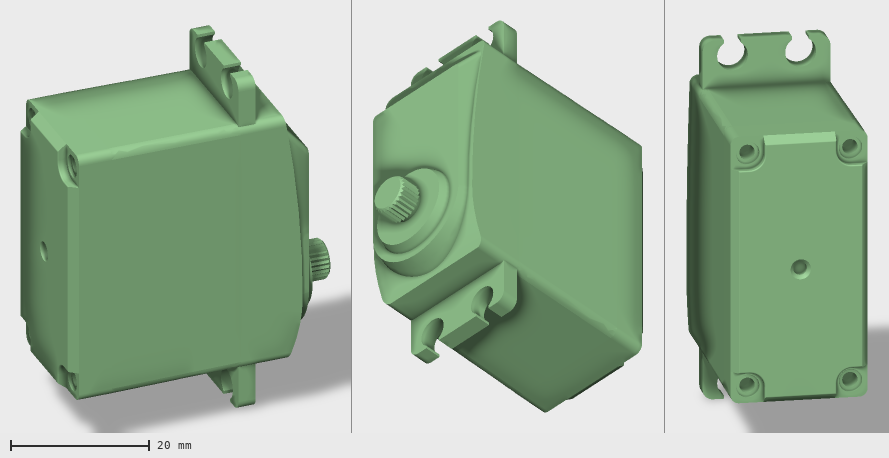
import cadquery as cq
import math


CASE_WIDTH = 20.15
CASE_LENGTH = 40.15
CASE_CORNER_RADIUS = 1.27
CASE_DRAFT = 0.15
COVER_FLOOR_Y = 1.33
COVER_SEAM_Y = 6.5
HEAD_SEAM_Y = 26.6
HEAD_WIDTH = CASE_WIDTH - 2 * CASE_DRAFT
HEAD_LENGTH = CASE_LENGTH - 2 * CASE_DRAFT

SHAFT_Z = -10.05
HEAD_PEAK_Y = 36.25
HEAD_TOP_EDGE_Y = 33.5
HEAD_BOTTOM_EDGE_Y = 33.95

COVER_BEVEL = 1.05
COVER_EDGE_FILLET = 0.2
SCREW_INSET = 2.53
POCKET_RADIUS = 2.3
SCREW_BORE_RADIUS = 1.72
SCREW_BORE_DEPTH = 0.5
SCREW_HOLE_RADIUS = 1.12
SCREW_HOLE_DEPTH = 4.0
CENTRE_SINK_RADIUS = 1.5
CENTRE_SINK_DEPTH = 0.6
CENTRE_HOLE_RADIUS = 1.0
CENTRE_HOLE_DEPTH = 1.5

FLANGE_WIDTH = 18.75
FLANGE_SPAN = 54.0
FLANGE_Y = 26.45
FLANGE_THICKNESS = 2.7
FLANGE_CORNER_RADIUS = 1.5
MOUNT_HOLE_RADIUS = 2.25
MOUNT_HOLE_X = 5.0
MOUNT_HOLE_Z = 24.65
MOUNT_SLOT_WIDTH = 2.5

GEAR_TOP_Y = 37.75
GEAR_BASE_Y = 33.5
GEAR_HALF_WIDTH = 8.65
GEAR_END_RADIUS = 8.2
GEAR_DRAFT_ANGLE = 15.0
GEAR_SLOPE_TOP_Z = 13.3
GEAR_SLOPE_ANGLE = 41.3
GEAR_SLOPE_FILLET = 0.9

BOSS_TOP_Y = 39.3
BOSS_BASE_RADIUS = 6.88
BOSS_TOP_RADIUS = 6.26
NECK_RADIUS = 2.54
SPLINE_START_Y = 40.05
SHAFT_END_Y = 43.55
SPLINE_RADIUS = 3.05
SPLINE_CHAMFER = 0.45
SPLINE_TOOTH_COUNT = 25
SPLINE_TOOTH_DEPTH = 0.3


def plane_at(y):
    """Workplane across the shaft direction: local x is X, local y is Z, normal is -Y."""
    return cq.Workplane("XZ", origin=(0, y, 0))


def rounded_rectangle(width, length):
    return cq.Sketch().rect(width, length).vertices().fillet(CASE_CORNER_RADIUS)


def cylinder(x, z, radius, start_y, end_y):
    return plane_at(end_y).center(x, z).circle(radius).extrude(end_y - start_y)


def cone(z, end_radius, start_radius, start_y, end_y):
    return (
        plane_at(end_y)
        .center(0, z)
        .circle(end_radius)
        .workplane(offset=end_y - start_y)
        .circle(start_radius)
        .loft()
    )


def tapered_block(end_outline, start_outline, start_y, end_y):
    shift = cq.Location(cq.Vector(0, 0, end_y - start_y))
    return plane_at(end_y).placeSketch(end_outline, start_outline.moved(shift)).loft()


def make_case():
    """Straight cover, drafted middle and curved head, stacked along Y."""
    full_outline = rounded_rectangle(CASE_WIDTH, CASE_LENGTH)
    head_outline = rounded_rectangle(HEAD_WIDTH, HEAD_LENGTH)
    cover = plane_at(COVER_SEAM_Y).placeSketch(full_outline).extrude(COVER_SEAM_Y - COVER_FLOOR_Y)
    middle = tapered_block(head_outline, full_outline, COVER_SEAM_Y, HEAD_SEAM_Y)
    return cover.union(middle).union(make_head())


def make_head():
    """Top of the case, closed by two arcs that meet tangentially level with the shaft."""
    block = (
        plane_at(HEAD_PEAK_Y)
        .placeSketch(rounded_rectangle(HEAD_WIDTH, HEAD_LENGTH))
        .extrude(HEAD_PEAK_Y - HEAD_SEAM_Y)
    )
    half_length = HEAD_LENGTH / 2
    side_profile = (
        cq.Workplane("YZ")
        .moveTo(HEAD_SEAM_Y, half_length)
        .lineTo(HEAD_SEAM_Y, -half_length)
        .lineTo(HEAD_BOTTOM_EDGE_Y, -half_length)
        .threePointArc(*arc_to_peak(HEAD_BOTTOM_EDGE_Y, -half_length))
        .tangentArcPoint((HEAD_TOP_EDGE_Y, half_length), relative=False)
        .close()
        .extrude(HEAD_WIDTH, both=True)
    )
    return block.intersect(side_profile)


def arc_to_peak(edge_y, edge_z):
    """Middle and end points of the arc that levels out at the head's peak."""
    drop = HEAD_PEAK_Y - edge_y
    run = edge_z - SHAFT_Z
    radius = (drop**2 + run**2) / (2 * drop)
    half_angle = math.asin(run / radius) / 2
    middle = (
        HEAD_PEAK_Y - radius * (1 - math.cos(half_angle)),
        SHAFT_Z + radius * math.sin(half_angle),
    )
    return middle, (HEAD_PEAK_Y, SHAFT_Z)


def make_cover_plate():
    """Bevelled plate under the case, without its corners."""
    full_outline = rounded_rectangle(CASE_WIDTH, CASE_LENGTH)
    face_outline = rounded_rectangle(CASE_WIDTH - 2 * COVER_BEVEL, CASE_LENGTH - 2 * COVER_BEVEL)
    plate = tapered_block(full_outline, face_outline, 0, COVER_FLOOR_Y)
    for x, z in screw_centres():
        plate = plate.cut(make_screw_pocket(x, z))
    return plate.faces("<Y").edges().fillet(COVER_EDGE_FILLET)


def screw_centres():
    screw_x = CASE_WIDTH / 2 - SCREW_INSET
    screw_z = CASE_LENGTH / 2 - SCREW_INSET
    return [(side * screw_x, end * screw_z) for side in (-1, 1) for end in (-1, 1)]


def make_screw_pocket(x, z):
    """Corner cut, open to both walls and rounded around the screw."""
    size = 2 * (POCKET_RADIUS + SCREW_INSET)
    corner_x = math.copysign(CASE_WIDTH / 2, x)
    corner_z = math.copysign(CASE_LENGTH / 2, z)
    outline = cq.Sketch().rect(size, size).vertices().fillet(POCKET_RADIUS)
    return plane_at(COVER_FLOOR_Y).center(corner_x, corner_z).placeSketch(outline).extrude(COVER_FLOOR_Y)


def make_cover_holes():
    """Counterbored screw holes in the pockets and one countersunk hole at the centre."""
    countersink = cone(0, CENTRE_HOLE_RADIUS, CENTRE_SINK_RADIUS, 0, CENTRE_SINK_DEPTH)
    holes = countersink.union(cylinder(0, 0, CENTRE_HOLE_RADIUS, 0, CENTRE_HOLE_DEPTH))
    for x, z in screw_centres():
        bore_end = COVER_FLOOR_Y + SCREW_BORE_DEPTH
        hole_end = COVER_FLOOR_Y + SCREW_HOLE_DEPTH
        holes = holes.union(cylinder(x, z, SCREW_BORE_RADIUS, COVER_FLOOR_Y, bore_end))
        holes = holes.union(cylinder(x, z, SCREW_HOLE_RADIUS, COVER_FLOOR_Y, hole_end))
    return holes


def make_flanges():
    """Plate through the case; the ends that stick out have open keyhole slots."""
    top_y = FLANGE_Y + FLANGE_THICKNESS
    plate = (
        plane_at(top_y)
        .rect(FLANGE_WIDTH, FLANGE_SPAN)
        .extrude(FLANGE_THICKNESS)
        .edges("|Y")
        .fillet(FLANGE_CORNER_RADIUS)
    )
    slot_length = FLANGE_SPAN / 2 - MOUNT_HOLE_Z
    for x in (-MOUNT_HOLE_X, MOUNT_HOLE_X):
        for end in (-1, 1):
            hole = cylinder(x, end * MOUNT_HOLE_Z, MOUNT_HOLE_RADIUS, FLANGE_Y, top_y)
            slot = (
                plane_at(top_y)
                .center(x, end * (MOUNT_HOLE_Z + slot_length / 2))
                .rect(MOUNT_SLOT_WIDTH, slot_length)
                .extrude(FLANGE_THICKNESS)
            )
            plate = plate.cut(hole).cut(slot)
    return plate


def make_gear_housing():
    """Drafted block, rounded around the shaft and sloped at the far end."""
    height = GEAR_TOP_Y - GEAR_BASE_Y
    slope_run = height / math.tan(math.radians(GEAR_SLOPE_ANGLE))
    far_z = GEAR_SLOPE_TOP_Z + slope_run
    block = (
        plane_at(GEAR_TOP_Y)
        .moveTo(-GEAR_HALF_WIDTH, far_z)
        .lineTo(-GEAR_HALF_WIDTH, SHAFT_Z)
        .threePointArc((0, SHAFT_Z - GEAR_END_RADIUS), (GEAR_HALF_WIDTH, SHAFT_Z))
        .lineTo(GEAR_HALF_WIDTH, far_z)
        .close()
        .extrude(height, taper=-GEAR_DRAFT_ANGLE)
    )
    beyond_z = far_z + height
    wedge = (
        cq.Workplane("YZ")
        .polyline(
            [
                (GEAR_TOP_Y, GEAR_SLOPE_TOP_Z),
                (GEAR_BASE_Y, far_z),
                (GEAR_BASE_Y, beyond_z),
                (GEAR_TOP_Y, beyond_z),
            ]
        )
        .close()
        .extrude(CASE_WIDTH, both=True)
    )
    block = block.cut(wedge)
    slope_middle = cq.Vector(0, (GEAR_TOP_Y + GEAR_BASE_Y) / 2, GEAR_SLOPE_TOP_Z + slope_run / 2)
    slope_face = cq.selectors.NearestToPointSelector(slope_middle.toTuple())
    slope_sides = block.faces(slope_face).edges("not(|X)")
    return slope_sides.fillet(GEAR_SLOPE_FILLET)


def make_shaft():
    """Conical boss, neck and toothed spline, all on the shaft axis."""
    boss = cone(SHAFT_Z, BOSS_TOP_RADIUS, BOSS_BASE_RADIUS, GEAR_TOP_Y, BOSS_TOP_Y)
    neck = cylinder(0, SHAFT_Z, NECK_RADIUS, BOSS_TOP_Y, SPLINE_START_Y)
    return boss.union(neck).union(make_spline())


def make_spline():
    points = []
    for step in range(2 * SPLINE_TOOTH_COUNT):
        angle = math.pi * step / SPLINE_TOOTH_COUNT
        radius = SPLINE_RADIUS - (step % 2) * SPLINE_TOOTH_DEPTH
        points.append((radius * math.cos(angle), radius * math.sin(angle)))
    length = SHAFT_END_Y - SPLINE_START_Y
    teeth = plane_at(SHAFT_END_Y).center(0, SHAFT_Z).polyline(points).close().extrude(length)
    blank = cylinder(0, SHAFT_Z, SPLINE_RADIUS, SPLINE_START_Y, SHAFT_END_Y)
    return teeth.intersect(blank.faces(">Y").chamfer(SPLINE_CHAMFER))


def make_servo():
    body = make_case().union(make_cover_plate()).cut(make_cover_holes())
    return body.union(make_flanges()).union(make_gear_housing()).union(make_shaft())


result = make_servo()